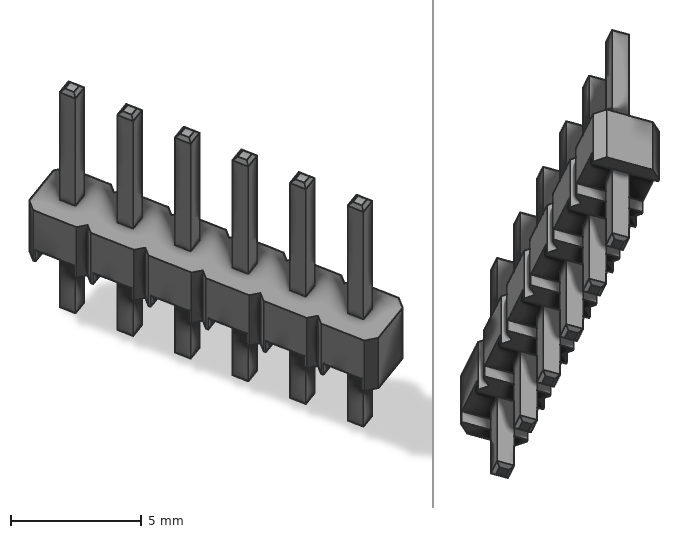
import cadquery as cq

PIN_COUNT = 6
PITCH = 2.54

HOUSING_DEPTH = 2.7
HOUSING_HEIGHT = 2.7
END_MARGIN = 1.35
HOUSING_LENGTH = (PIN_COUNT - 1) * PITCH + 2 * END_MARGIN
CORNER_CHAMFER = 0.4
NOTCH_WIDTH = PITCH - 2 * (END_MARGIN - CORNER_CHAMFER)
NOTCH_DEPTH = NOTCH_WIDTH / 2
RELIEF_WIDTH = 1.7
RELIEF_HEIGHT = 0.6

PIN_WIDTH = 0.7
PIN_ABOVE = 5.9
PIN_BELOW = 3.2
PIN_LENGTH = PIN_BELOW + HOUSING_HEIGHT + PIN_ABOVE
TIP_CHAMFER = 0.15

PIN_POSITIONS = [(i - (PIN_COUNT - 1) / 2) * PITCH for i in range(PIN_COUNT)]


def make_notch(x, side):
    """Vertical V-notch between two cells, on the +Y (side = 1) or -Y (side = -1) face."""
    face_y = side * HOUSING_DEPTH / 2
    return (
        cq.Workplane("XY")
        .moveTo(x - NOTCH_WIDTH / 2, face_y)
        .lineTo(x, face_y - side * NOTCH_DEPTH)
        .lineTo(x + NOTCH_WIDTH / 2, face_y)
        .close()
        .extrude(HOUSING_HEIGHT)
    )


def make_housing():
    """Chamfered bar with notches between cells and a cross channel under each pin."""
    housing = (
        cq.Workplane("XY")
        .box(HOUSING_LENGTH, HOUSING_DEPTH, HOUSING_HEIGHT, centered=(True, True, False))
        .edges("|Z")
        .chamfer(CORNER_CHAMFER)
    )
    for pin_x in PIN_POSITIONS[:-1]:
        for side in (-1, 1):
            housing = housing.cut(make_notch(pin_x + PITCH / 2, side))
    channels = (
        cq.Workplane("XY")
        .pushPoints([(pin_x, 0) for pin_x in PIN_POSITIONS])
        .rect(RELIEF_WIDTH, HOUSING_DEPTH)
        .extrude(RELIEF_HEIGHT)
    )
    return housing.cut(channels)


def make_pin(x):
    """Square pin through the housing, chamfered on all four sides at both ends."""
    return (
        cq.Workplane("XY", origin=(x, 0, -PIN_BELOW))
        .box(PIN_WIDTH, PIN_WIDTH, PIN_LENGTH, centered=(True, True, False))
        .faces("<Z or >Z")
        .edges()
        .chamfer(TIP_CHAMFER)
    )


result = make_housing()
for pin_x in PIN_POSITIONS:
    result = result.union(make_pin(pin_x))